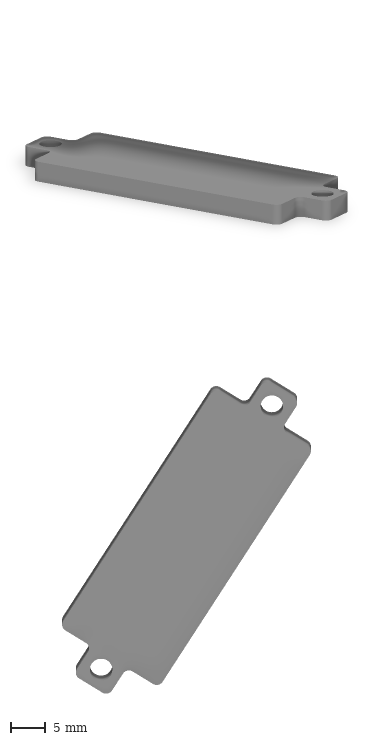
import cadquery as cq

overall_length = 52.0
body_length = 42.0
body_width = 17.0
thickness = 3.0

ear_width = 6.0
hole_diameter = 3.26
hole_spacing = 46.4

corner_radius = 1.0


def make_outline():
    """Rectangular body with a narrow ear at each end, all vertical edges rounded."""
    body = cq.Workplane("XY").box(body_length, body_width, thickness)
    ear_strip = cq.Workplane("XY").box(overall_length, ear_width, thickness)
    return body.union(ear_strip).edges("|Z").fillet(corner_radius)


def drill_ear_holes(plate):
    """One through hole in each ear."""
    hole_centers = [(side * hole_spacing / 2, 0) for side in (-1, 1)]
    return plate.faces(">Z").workplane(origin=(0, 0, 0)).pushPoints(hole_centers).hole(hole_diameter)


result = drill_ear_holes(make_outline())